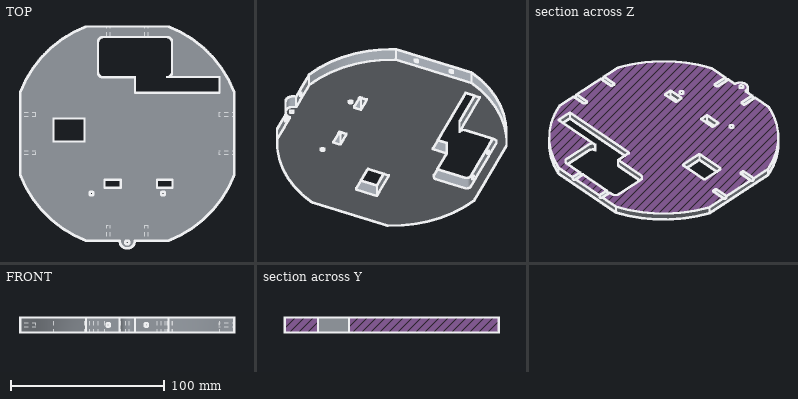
import cadquery as cq

total_length = 145.0

plate_thickness = 10.0
lug_radius = plate_thickness / 2
lug_hole_offset = 1.0

plate_width = total_length - lug_radius
half_width = plate_width / 2
disc_radius = 75.0

hole_diameter = 2.5
mount_hole_x = 23.3
mount_hole_y = -39.2
edge_hole_offset = 12.5
edge_hole_depth = 10.0

window_left = -19.0
window_bottom = 36.8
window_width = 48.1
window_height = 26.1
window_corner_radius = 3.0

slot_left = 5.2
slot_width = 55.0
slot_height = 10.0
slot_bottom = window_bottom - slot_height

side_opening_left = -48.0
side_opening_bottom = -5.1
side_opening_width = 20.0
side_opening_height = 15.0

small_openings = [(-14.8, 10.5), (19.5, 10.0)]
small_opening_bottom = -35.2
small_opening_height = 5.1


def plate_block(left, bottom, width, height):
    """Rectangular block as thick as the plate, placed by its lower-left corner."""
    return cq.Workplane("XY").box(width, height, plate_thickness, centered=False).translate((left, bottom, 0))


def make_plate():
    disc = cq.Workplane("XY").circle(disc_radius).extrude(plate_thickness)
    return disc.intersect(plate_block(-half_width, -half_width, plate_width, plate_width))


def make_lug():
    return cq.Workplane("XY").center(0, -half_width).circle(lug_radius).extrude(plate_thickness)


def make_openings():
    window = plate_block(window_left, window_bottom, window_width, window_height)
    openings = [
        window.edges("|Z").fillet(window_corner_radius),
        plate_block(slot_left, slot_bottom, slot_width, slot_height),
        plate_block(side_opening_left, side_opening_bottom, side_opening_width, side_opening_height),
    ]
    for left, width in small_openings:
        openings.append(plate_block(left, small_opening_bottom, width, small_opening_height))
    return openings


def make_vertical_holes():
    centres = [
        (-mount_hole_x, mount_hole_y),
        (mount_hole_x, mount_hole_y),
        (0, -half_width - lug_hole_offset),
    ]
    return cq.Workplane("XY").pushPoints(centres).circle(hole_diameter / 2).extrude(plate_thickness)


def make_edge_holes(turn):
    """Pair of blind holes in the +X edge, turned about Z to another edge."""
    holes = (
        cq.Workplane("YZ", origin=(half_width, 0, plate_thickness / 2))
        .pushPoints([(-edge_hole_offset, 0), (edge_hole_offset, 0)])
        .circle(hole_diameter / 2)
        .extrude(-edge_hole_depth)
    )
    return holes.rotate((0, 0, 0), (0, 0, 1), turn)


result = make_plate().union(make_lug())
for opening in make_openings():
    result = result.cut(opening)
result = result.cut(make_vertical_holes())
for turn in (0, 90, 180, 270):
    result = result.cut(make_edge_holes(turn))